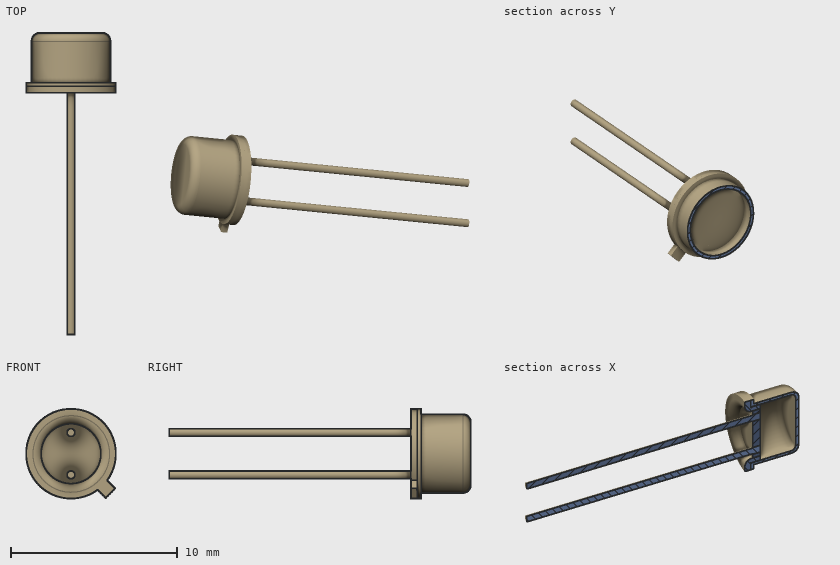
import cadquery as cq
import math

TOTAL_LENGTH = 18.1
LEAD_RADIUS = 0.24
LEAD_OFFSET = 1.27

FLANGE_RADIUS = 2.7
HEADER_FLANGE_THICKNESS = 0.38
CAP_SHEET_THICKNESS = 0.24
CAP_RADIUS = 2.37
CAP_HEIGHT = 3.6
CAP_ROUNDING = 0.5

GLASS_RADIUS = 1.8
GLASS_RECESS = 0.5
GLASS_THICKNESS = 0.55

TAB_REACH = 3.35
TAB_WIDTH = 0.81
TAB_ANGLE = 45.0

header_face_y = TOTAL_LENGTH / 2 - CAP_HEIGHT
flange_joint_y = header_face_y + HEADER_FLANGE_THICKNESS
glass_face_y = header_face_y + GLASS_RECESS
glass_back_y = glass_face_y + GLASS_THICKNESS
cap_end_y = TOTAL_LENGTH / 2
lead_tip_y = -TOTAL_LENGTH / 2
cap_bore_radius = CAP_RADIUS - CAP_SHEET_THICKNESS


def cylinder(radius, start_y, end_y, x=0, z=0):
    """Cylinder parallel to Y."""
    solid = cq.Solid.makeCylinder(radius, end_y - start_y, cq.Vector(x, start_y, z), cq.Vector(0, 1, 0))
    return cq.Workplane(obj=solid)


def make_cap():
    """Hollow can with a rounded closed end and a brim at its open end."""
    can = cylinder(CAP_RADIUS, flange_joint_y, cap_end_y).faces(">Y").edges().fillet(CAP_ROUNDING)
    brim = cylinder(FLANGE_RADIUS, flange_joint_y, flange_joint_y + CAP_SHEET_THICKNESS)
    inner_rounding = CAP_ROUNDING - CAP_SHEET_THICKNESS
    cavity = cylinder(cap_bore_radius, flange_joint_y, cap_end_y - CAP_SHEET_THICKNESS)
    cavity = cavity.faces(">Y").edges().fillet(inner_rounding)
    return can.union(brim).cut(cavity)


def make_header():
    """Flanged sleeve with a rounded mouth and an index tab."""
    arc_inset = GLASS_RECESS * (1 - math.cos(math.pi / 4))
    sleeve = (
        cq.Workplane("XY")
        .moveTo(GLASS_RADIUS, glass_back_y)
        .lineTo(GLASS_RADIUS, glass_face_y)
        .threePointArc(
            (GLASS_RADIUS + arc_inset, header_face_y + arc_inset),
            (GLASS_RADIUS + GLASS_RECESS, header_face_y),
        )
        .lineTo(FLANGE_RADIUS, header_face_y)
        .lineTo(FLANGE_RADIUS, flange_joint_y)
        .lineTo(cap_bore_radius, flange_joint_y)
        .lineTo(cap_bore_radius, glass_back_y)
        .close()
        .revolve(360, (0, 0, 0), (0, 1, 0))
    )
    tab_root = (FLANGE_RADIUS + GLASS_RADIUS + GLASS_RECESS) / 2
    tab = (
        cq.Workplane("XY")
        .box(TAB_REACH - tab_root, HEADER_FLANGE_THICKNESS, TAB_WIDTH, centered=(False, False, True))
        .translate((tab_root, header_face_y, 0))
        .rotate((0, 0, 0), (0, 1, 0), TAB_ANGLE)
    )
    return sleeve.union(tab)


def make_lead(z):
    """Straight round lead ending flush with the inner face of the glass."""
    return cylinder(LEAD_RADIUS, lead_tip_y, glass_back_y, z=z)


def make_glass(leads):
    """Disc that fills the header sleeve around the leads."""
    glass = cylinder(GLASS_RADIUS, glass_face_y, glass_back_y)
    for lead in leads:
        glass = glass.cut(lead)
    return glass


cap = make_cap()
header = make_header()
leads = [make_lead(z) for z in (-LEAD_OFFSET, LEAD_OFFSET)]
glass = make_glass(leads)

result = cq.Compound.makeCompound([cap.val(), header.val(), glass.val(), *[lead.val() for lead in leads]])